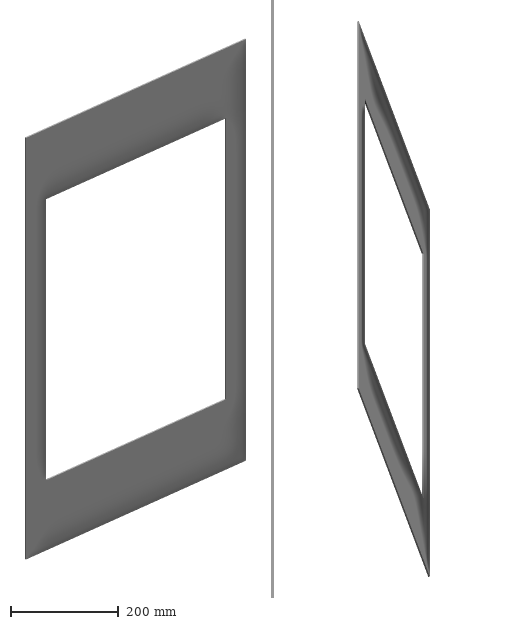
import cadquery as cq

thickness = 3.0
width = 549.0
height = 900.0

side_border = 50.0
end_border = 150.0

window_width = width - 2 * side_border
window_height = height - 2 * end_border


def make_panel():
    """Solid rectangular plate centred on the origin."""
    return cq.Workplane("XY").box(thickness, width, height)


def cut_window(panel):
    """Cut the central rectangular opening through the full thickness."""
    window = cq.Workplane("XY").box(2 * thickness, window_width, window_height)
    return panel.cut(window)


result = cut_window(make_panel())